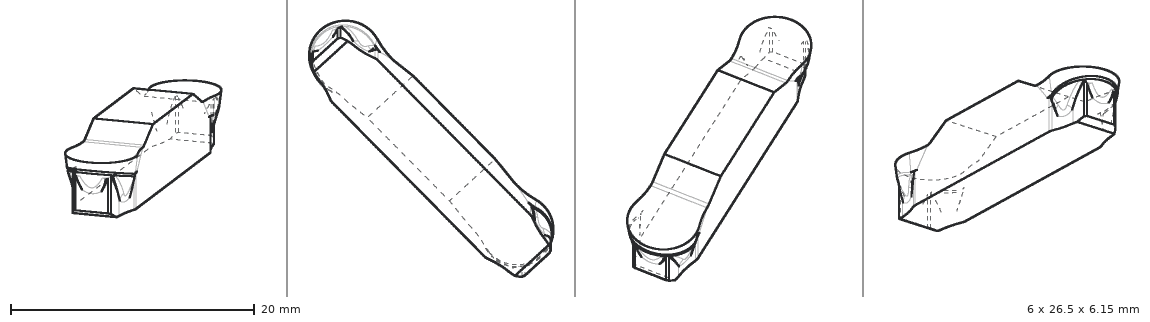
import cadquery as cq
import math

length = 26.48
body_width = 5.2
height = 6.15
tip_height = 4.82
crown_half_length = 4.9
ramp_foot_y = 7.23
ramp_foot_radius = 0.75
body_end_y = 9.08

tip_radius = 3.0
tip_center_y = length / 2 - tip_radius
neck_start_y = 7.41
neck_end_y = 9.48
neck_floor = 3.12
clearance_angle = 7.0

flank_angle = 16.5
flank_setback = 0.13
rim_level = 3.2
land_height = 0.25
support_seam_level = 2.38
support_blend_radius = 1.85

front_y = 12.63
front_half_width = 1.4
front_bevel_width = 0.25
front_bevel_depth = 0.1
side_start_y = 9.4
side_end_y = 11.55
side_end_x = 2.0
side_start_angle = 22.0
heel_depth = 0.64
heel_height = 0.45

half_width = body_width / 2
half_turn_slope = math.tan(math.radians(side_start_angle / 2))
side_start_x = half_width - (side_start_y - body_end_y) * half_turn_slope
clearance_slope = math.tan(math.radians(clearance_angle))
land_angle = (clearance_angle + flank_angle) / 2
land_setback = flank_setback / 2


def make_body():
    """Bar with ramps from the raised middle down to the tip level."""
    profile = [
        (-body_end_y, 0),
        (body_end_y, 0),
        (body_end_y, tip_height),
        (ramp_foot_y, tip_height),
        (crown_half_length, height),
        (-crown_half_length, height),
        (-ramp_foot_y, tip_height),
        (-body_end_y, tip_height),
    ]
    body = cq.Workplane("YZ").polyline(profile).close().extrude(half_width, both=True)
    for side in (-1, 1):
        foot = cq.selectors.NearestToPointSelector((0, side * ramp_foot_y, tip_height))
        body = body.edges(foot).fillet(ramp_foot_radius)
    return body


def upper_flank_radius(level):
    """Radius of the round tip at the given level."""
    return tip_radius - (tip_height - level) * clearance_slope


def flank_cone(angle, setback, crossing_level):
    """Upright cone that has the upper flank's radius at the crossing level."""
    slope = math.tan(math.radians(angle))
    crossing_radius = upper_flank_radius(crossing_level)
    bottom_radius = crossing_radius - crossing_level * slope
    top_radius = crossing_radius + (tip_height - crossing_level) * slope
    center = cq.Vector(0, tip_center_y - setback, 0)
    return cq.Workplane(cq.Solid.makeCone(bottom_radius, top_radius, tip_height, center))


def neck_join(level):
    """Point where the neck meets the round tip at the given level."""
    angle = math.asin((tip_center_y - neck_end_y) / tip_radius)
    radius = upper_flank_radius(level)
    return radius * math.cos(angle), tip_center_y - radius * math.sin(angle)


def tip_zone():
    """Block beyond the neck, used to trim the round tip."""
    low_join_y = neck_join(neck_floor)[1]
    profile = [
        (neck_end_y, tip_height),
        (low_join_y, neck_floor),
        (body_end_y, neck_floor),
        (body_end_y, 0),
        (length / 2, 0),
        (length / 2, tip_height),
    ]
    return cq.Workplane("YZ").polyline(profile).close().extrude(tip_radius, both=True)


def neck_outline(level):
    """Neck in plan: each side is an arc from the side wall to the round tip."""
    join_x, join_y = neck_join(level)
    top_x = neck_join(tip_height)[0]
    mid_x = half_width + (top_x - half_width) / 4 - (top_x - join_x) / 2
    mid_y = (neck_start_y + join_y) / 2
    return (
        cq.Workplane("XY", origin=(0, 0, level))
        .moveTo(half_width, neck_start_y)
        .threePointArc((mid_x, mid_y), (join_x, join_y))
        .lineTo(-join_x, join_y)
        .threePointArc((-mid_x, mid_y), (-half_width, neck_start_y))
        .close()
        .wires()
        .val()
    )


def make_neck():
    """Neck whose sides start upright at the side walls and gain the tip's draft."""
    outlines = [neck_outline(neck_floor), neck_outline(tip_height)]
    return cq.Workplane(cq.Solid.makeLoft(outlines, True))


def make_support():
    """Column below the tip, tapered in plan, with a bevelled heel."""
    bevel_x = front_half_width + front_bevel_width
    bevel_y = front_y - front_bevel_depth
    half = (
        cq.Workplane("XY")
        .moveTo(0, 0)
        .lineTo(half_width, 0)
        .lineTo(half_width, body_end_y)
        .tangentArcPoint((side_start_x, side_start_y), relative=False)
        .tangentArcPoint((side_end_x, side_end_y), relative=False)
        .tangentArcPoint((bevel_x, bevel_y), relative=False)
        .lineTo(front_half_width, front_y)
        .lineTo(0, front_y)
        .close()
        .extrude(tip_height)
    )
    column = half.union(half.mirror("YZ")).clean()
    heel = (
        cq.Workplane("YZ")
        .polyline([(front_y - heel_depth, 0), (front_y, heel_height), (front_y, 0)])
        .close()
        .extrude(half_width, both=True)
    )
    return column.cut(heel)


def make_round_tip(support):
    """Lower flank blended into the support, then trimmed by the land and upper flank."""
    tip = flank_cone(flank_angle, flank_setback, rim_level).union(support)
    side_x = (side_start_x + side_end_x) / 2
    side_y = (side_start_y + side_end_y) / 2
    for x, y in [(0, front_y), (side_x, side_y), (-side_x, side_y)]:
        seam = cq.selectors.NearestToPointSelector((x, y, support_seam_level))
        tip = tip.edges(seam).fillet(support_blend_radius)
    land = flank_cone(land_angle, land_setback, rim_level + land_height / 2)
    upper = flank_cone(clearance_angle, 0, tip_height)
    return tip.intersect(upper).intersect(land).intersect(tip_zone())


support = make_support()
end = make_round_tip(support).union(support).union(make_neck())
result = make_body().union(end).union(end.mirror("XZ"))